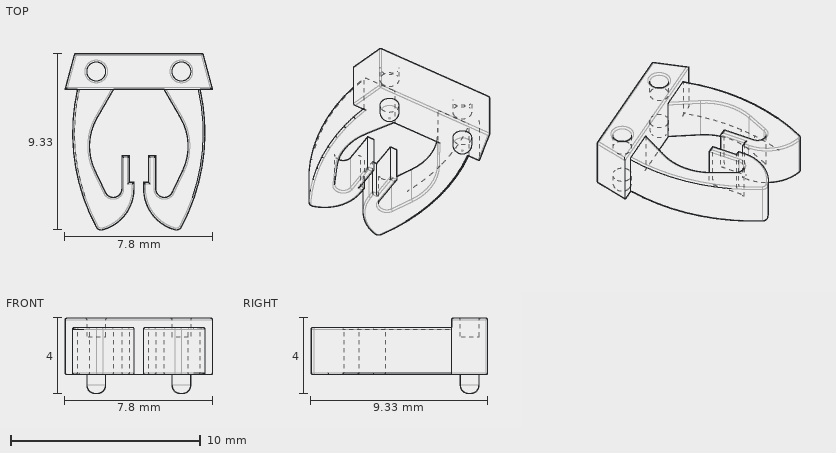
import cadquery as cq
import math


PLATE_FRONT_WIDTH = 7.8
PLATE_DEPTH = 1.9
PLATE_HEIGHT = 3.0
PLATE_SIDE_ANGLE = 15.0

PIN_SPACING = 4.5
PIN_DIAMETER = 1.0
PIN_LENGTH = 1.0
PIN_END_RADIUS = 0.45
SOCKET_DIAMETER = PIN_DIAMETER
SOCKET_DEPTH = PIN_LENGTH

ARM_HEIGHT = 2.5
ARM_EMBED = 0.5
OUTER_RADIUS = 10.5
OUTER_CENTER = (7.0, -2.3)
INNER_RADIUS = 3.0
INNER_CENTER = (0.4, -3.0)
INNER_ROOT_ANGLE = 30.0
TIP_RADIUS = 0.3

FINGER_OUTER_X = -0.9
FINGER_WIDTH = 0.4
FINGER_END_Y = -3.5
STEP_Y = -4.9
MOUTH_GAP = 0.5
HOOK_START_Y = -5.25
HOOK_RADIUS = 2.25
THROAT_RADIUS = 0.45

EDGE_RADIUS = 0.1


def on_circle(center, radius, angle):
    """Point on a circle at an angle in radians."""
    return (center[0] + radius * math.cos(angle), center[1] + radius * math.sin(angle))


def lower_circle_crossing(center_a, radius_a, center_b, radius_b):
    """Crossing point of two circles that has the lower Y."""
    dx = center_b[0] - center_a[0]
    dy = center_b[1] - center_a[1]
    distance = math.hypot(dx, dy)
    along = (radius_a**2 - radius_b**2 + distance**2) / (2 * distance)
    half_angle = math.acos(along / radius_a)
    bearing = math.atan2(dy, dx)
    crossings = [on_circle(center_a, radius_a, bearing + turn) for turn in (half_angle, -half_angle)]
    return min(crossings, key=lambda point: point[1])


def angle_about(center, point):
    """Direction from a center to a point, from 0 to a full turn."""
    return math.atan2(point[1] - center[1], point[0] - center[0]) % math.tau


def make_plate():
    """Block tapering toward the back, with its front side and front bottom edges left sharp."""
    front_half = PLATE_FRONT_WIDTH / 2
    back_half = front_half - PLATE_DEPTH * math.tan(math.radians(PLATE_SIDE_ANGLE))
    outline = [
        (-front_half, 0),
        (front_half, 0),
        (back_half, PLATE_DEPTH),
        (-back_half, PLATE_DEPTH),
    ]
    plate = cq.Workplane("XY").polyline(outline).close().extrude(PLATE_HEIGHT)
    top_edges = plate.faces(">Z").edges()
    bottom_edges = plate.faces("<Z").edges("not <Y")
    back_corners = plate.edges("|Z and >Y")
    rounded_edges = top_edges.add(bottom_edges).add(back_corners)
    return rounded_edges.fillet(EDGE_RADIUS)


def make_left_arm():
    """Curved arm ending in a hook whose finger points back toward the plate."""
    hook_center = (-MOUTH_GAP / 2 - HOOK_RADIUS, HOOK_START_Y)
    throat_center = (FINGER_OUTER_X - THROAT_RADIUS, HOOK_START_Y)
    finger_inner_x = FINGER_OUTER_X + FINGER_WIDTH

    outer_root_angle = math.pi - math.asin((ARM_EMBED - OUTER_CENTER[1]) / OUTER_RADIUS)
    outer_root = on_circle(OUTER_CENTER, OUTER_RADIUS, outer_root_angle)
    tip = lower_circle_crossing(OUTER_CENTER, OUTER_RADIUS, hook_center, HOOK_RADIUS)
    outer_side = on_circle(OUTER_CENTER, OUTER_RADIUS, math.pi)

    hook_mid_angle = (angle_about(hook_center, tip) + math.tau) / 2
    hook_mid = on_circle(hook_center, HOOK_RADIUS, hook_mid_angle)
    hook_start = (-MOUTH_GAP / 2, HOOK_START_Y)

    dx = throat_center[0] - INNER_CENTER[0]
    dy = throat_center[1] - INNER_CENTER[1]
    lean = math.acos((INNER_RADIUS - THROAT_RADIUS) / math.hypot(dx, dy))
    tangent_angle = angle_about(INNER_CENTER, throat_center) - lean
    throat_mid = on_circle(throat_center, THROAT_RADIUS, (tangent_angle + math.tau) / 2)
    throat_end = on_circle(throat_center, THROAT_RADIUS, tangent_angle)
    inner_start = on_circle(INNER_CENTER, INNER_RADIUS, tangent_angle)

    root_slope = math.radians(INNER_ROOT_ANGLE)
    inner_side = on_circle(INNER_CENTER, INNER_RADIUS, math.pi)
    inner_end = on_circle(INNER_CENTER, INNER_RADIUS, math.pi - root_slope)
    inner_root = (inner_end[0] + (ARM_EMBED - inner_end[1]) * math.tan(root_slope), ARM_EMBED)

    arm = (
        cq.Workplane("XY")
        .moveTo(*outer_root)
        .threePointArc(outer_side, tip)
        .threePointArc(hook_mid, hook_start)
        .lineTo(-MOUTH_GAP / 2, STEP_Y)
        .lineTo(finger_inner_x, STEP_Y)
        .lineTo(finger_inner_x, FINGER_END_Y)
        .lineTo(FINGER_OUTER_X, FINGER_END_Y)
        .lineTo(FINGER_OUTER_X, HOOK_START_Y)
        .threePointArc(throat_mid, throat_end)
        .lineTo(*inner_start)
        .threePointArc(inner_side, inner_end)
        .lineTo(*inner_root)
        .close()
        .extrude(ARM_HEIGHT)
    )
    arm = arm.edges("|Z and <Y").fillet(TIP_RADIUS)
    return arm.faces("<Z or >Z").edges().fillet(EDGE_RADIUS)


def make_pin(x, y):
    """Pin with a rounded end, hanging from the plate's underside."""
    pin = cq.Workplane("XY").center(x, y).circle(PIN_DIAMETER / 2).extrude(-PIN_LENGTH)
    return pin.faces("<Z").edges().fillet(PIN_END_RADIUS)


def make_socket_cutter(x, y):
    """Blind hole whose rim flares outward with a quarter-round."""
    radius = SOCKET_DIAMETER / 2
    rim_radius = radius + EDGE_RADIUS
    rim_bottom = PLATE_HEIGHT - EDGE_RADIUS
    rim_inset = EDGE_RADIUS * math.sqrt(0.5)
    profile = (
        cq.Workplane("XZ")
        .moveTo(0, PLATE_HEIGHT - SOCKET_DEPTH)
        .lineTo(radius, PLATE_HEIGHT - SOCKET_DEPTH)
        .lineTo(radius, rim_bottom)
        .threePointArc((rim_radius - rim_inset, rim_bottom + rim_inset), (rim_radius, PLATE_HEIGHT))
        .lineTo(0, PLATE_HEIGHT)
        .close()
    )
    return profile.revolve(360, (0, 0), (0, 1)).translate((x, y, 0))


left_arm = make_left_arm()
result = make_plate().union(left_arm).union(left_arm.mirror("YZ"))
for pin_x in (-PIN_SPACING / 2, PIN_SPACING / 2):
    pin_y = PLATE_DEPTH / 2
    result = result.union(make_pin(pin_x, pin_y))
    result = result.cut(make_socket_cutter(pin_x, pin_y))